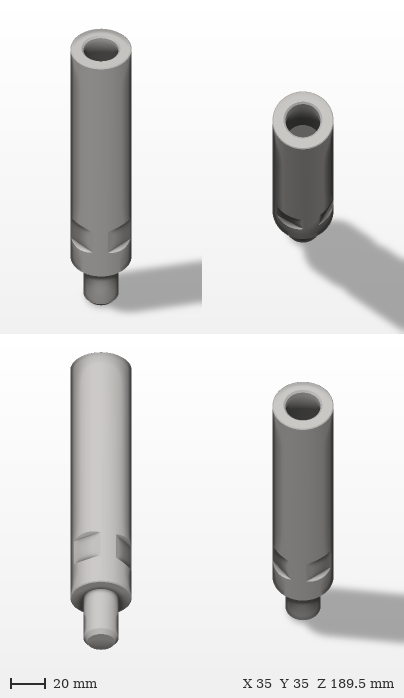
import cadquery as cq

total_length = 189.5
body_diameter = 35.0
body_edge_chamfer = 0.5

pin_diameter = 20.0
pin_length = 30.0
pin_chamfer_height = 2.7
pin_chamfer_width = 2.0

bore_diameter = 20.0
bore_depth = 37.9
bore_mouth_chamfer = 1.1

across_flats = 30.3
flat_bottom = 48.1
flat_height = 16.0
flat_end_rise = 1.5
flat_count = 4

body_radius = body_diameter / 2
pin_radius = pin_diameter / 2
bore_radius = bore_diameter / 2


def make_shaft():
    """Revolve the stepped outline: chamfered pin below, body above."""
    return (
        cq.Workplane("XZ")
        .moveTo(0, 0)
        .lineTo(pin_radius - pin_chamfer_width, 0)
        .lineTo(pin_radius, pin_chamfer_height)
        .lineTo(pin_radius, pin_length)
        .lineTo(body_radius - body_edge_chamfer, pin_length)
        .lineTo(body_radius, pin_length + body_edge_chamfer)
        .lineTo(body_radius, total_length - body_edge_chamfer)
        .lineTo(body_radius - body_edge_chamfer, total_length)
        .lineTo(0, total_length)
        .close()
        .revolve(360, (0, 0), (0, 1))
    )


def make_bore():
    """Blind bore from the top face with a chamfered mouth."""
    return (
        cq.Workplane("XZ")
        .moveTo(0, total_length - bore_depth)
        .lineTo(bore_radius, total_length - bore_depth)
        .lineTo(bore_radius, total_length - bore_mouth_chamfer)
        .lineTo(bore_radius + bore_mouth_chamfer, total_length)
        .lineTo(0, total_length)
        .close()
        .revolve(360, (0, 0), (0, 1))
    )


def make_flat_cutter():
    """Wrench flat on the +X side, its end walls sloping outward to the body surface."""
    flat_distance = across_flats / 2
    flat_top = flat_bottom + flat_height
    return (
        cq.Workplane("XZ")
        .polyline([
            (flat_distance, flat_bottom),
            (body_radius, flat_bottom - flat_end_rise),
            (body_radius, flat_top + flat_end_rise),
            (flat_distance, flat_top),
        ])
        .close()
        .extrude(body_radius, both=True)
    )


result = make_shaft().cut(make_bore())
for index in range(flat_count):
    angle = index * 360 / flat_count
    result = result.cut(make_flat_cutter().rotate((0, 0, 0), (0, 0, 1), angle))